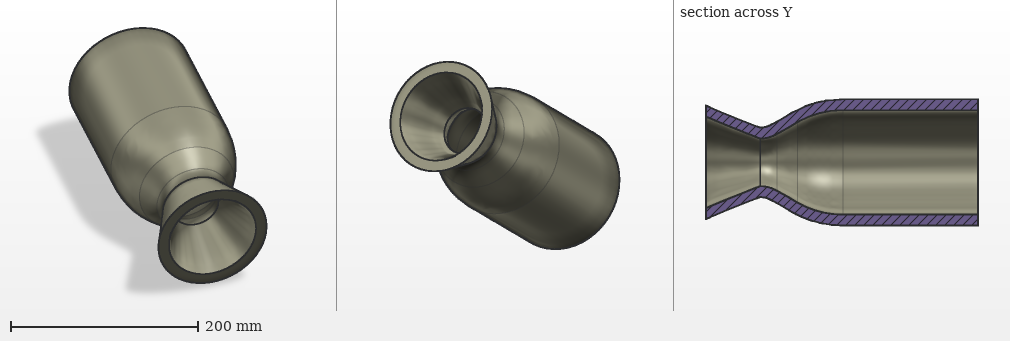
import cadquery as cq
import math

total_length = 290.5
barrel_diameter = 135.0
barrel_length = 144.7
wall = 12.0

shoulder_radius = 109.0
throat_radius = 37.2
throat_arc_radius = 23.2
converging_angle = math.radians(30)
exit_radius = 60.7

barrel_radius = barrel_diameter / 2
arcs_drop = (shoulder_radius + throat_arc_radius) * (1 - math.cos(converging_angle))
cone_length = (barrel_radius - throat_radius - arcs_drop) / math.tan(converging_angle)
arcs_length = (shoulder_radius + throat_arc_radius) * math.sin(converging_angle)
throat_x = barrel_length + arcs_length + cone_length


def shoulder_point(angle, inset):
    """Point on the shoulder arc, moved towards the bore by inset."""
    radius = shoulder_radius - inset
    center_r = barrel_radius - shoulder_radius
    return (barrel_length + radius * math.sin(angle), center_r + radius * math.cos(angle))


def throat_point(angle, inset):
    """Point on the throat arc, moved towards the bore by inset."""
    radius = throat_arc_radius + inset
    center_r = throat_radius + throat_arc_radius
    return (throat_x - radius * math.sin(angle), center_r - radius * math.cos(angle))


def revolved_body(inset):
    """Solid bounded by the outer contour moved inwards by inset."""
    half_angle = converging_angle / 2
    return (
        cq.Workplane("XY")
        .moveTo(0, 0)
        .lineTo(0, barrel_radius - inset)
        .lineTo(barrel_length, barrel_radius - inset)
        .threePointArc(shoulder_point(half_angle, inset), shoulder_point(converging_angle, inset))
        .lineTo(*throat_point(converging_angle, inset))
        .threePointArc(throat_point(half_angle, inset), throat_point(0, inset))
        .lineTo(total_length, exit_radius - inset)
        .lineTo(total_length, 0)
        .close()
        .revolve(360, (0, 0, 0), (1, 0, 0))
    )


outer_body = revolved_body(0)
bore = revolved_body(wall)
result = outer_body.cut(bore)